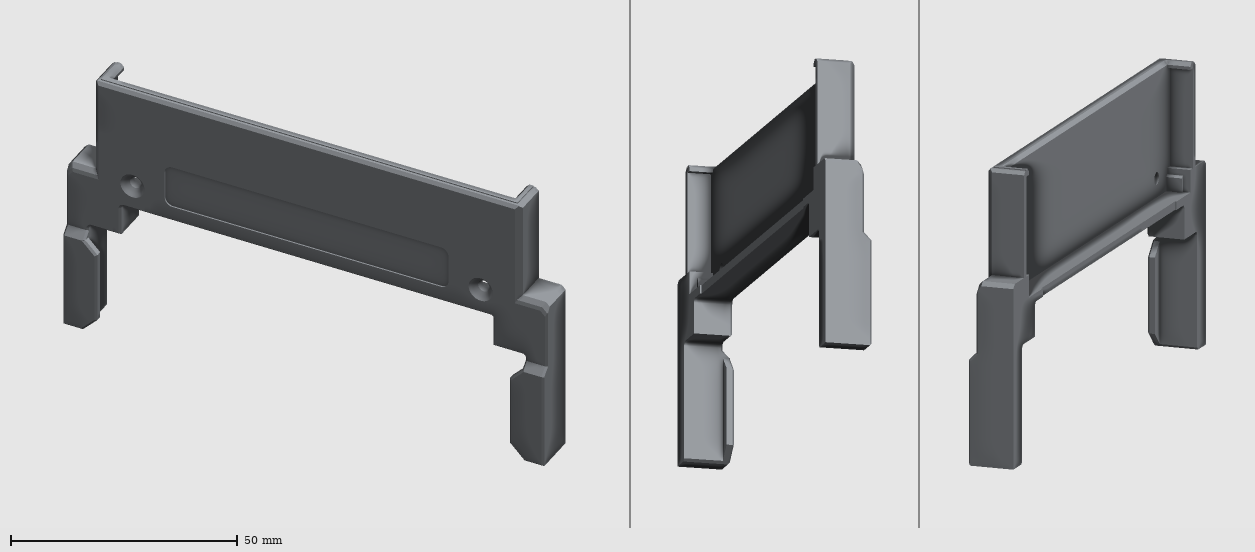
import cadquery as cq

half_width = 60.0
height = 66.5
body_depth = 8.9
leg_depth = 10.7

wall_half_width = 53.3
shoulder_z = 42.1
span_bottom_z = 35.0
block_inner_x = 46.5
block_bottom_z = 27.1
neck_x = 54.5

pad_inner_x = 51.5
pad_top_z = 24.0
pad_slope_tip_z = 21.0
pad_foot_slope_z = 3.6
pad_foot_x = pad_inner_x + pad_foot_slope_z
pad_rise = leg_depth - body_depth

outline_chamfer = 1.3
top_chamfer = 0.7
ridge_height = 0.2
ridge_inset = 1.3
shoulder_end_chamfer = 1.0
small_chamfer = 0.5
notch_radius = 0.8

plate_thickness = 3.5
tray_floor_z = 37.0
lip_height = 1.5
lip_inner_x = 50.2
lip_chamfer = 0.8
side_skin = 1.5
post_inner_x = 49.5
post_top_z = 40.7
post_back_y = -1.7
floor_back_gap = 0.4
floor_back_half_width = 41.6

screw_x = 43.5
screw_z = 41.3
screw_diameter = 2.9
screw_head_diameter = 6.0
label_width = 70.8
label_height = 10.5
label_z = 44.2
label_radius = 1.9
label_depth = 0.4

margin = 0.1

tray_front_y = plate_thickness - body_depth
tray_depth = -tray_front_y
wall_top_z = height - ridge_height
tray_half_width = wall_half_width - side_skin


def box(x_min, x_max, y_min, y_max, z_min, z_max):
    """Axis-aligned block between the given limits."""
    size = (x_max - x_min, y_max - y_min, z_max - z_min)
    return cq.Workplane("XY").box(*size, centered=False).translate((x_min, y_min, z_min))


def centered_box(half_x, y_min, y_max, z_min, z_max):
    """Block that is symmetric about the centre plane."""
    return box(-half_x, half_x, y_min, y_max, z_min, z_max)


def prism(points, y_back, y_front):
    """Prism with an XZ outline, running forward from y_back to y_front."""
    outline = cq.Workplane("XZ", origin=(0, y_back, 0)).polyline(points).close()
    return outline.extrude(y_back - y_front)


def both_sides(solid):
    """The solid together with its mirror image across the centre plane."""
    return solid.union(solid.mirror("YZ"))


def edges_between(solid, low, high):
    """Selection of the edges whose centres lie between two opposite corners of a box."""
    return solid.edges(cq.selectors.BoxSelector(low, high))


def edges_in_band(solid, y_min, y_max, z_min, z_max):
    """Selection of the edges, at any X, whose centres lie between the given Y and Z limits."""
    reach = half_width + margin
    return edges_between(solid, (-reach, y_min, z_min), (reach, y_max, z_max))


def make_body():
    right = [
        (wall_half_width, wall_top_z),
        (wall_half_width, shoulder_z),
        (half_width, shoulder_z),
        (half_width, 0),
        (pad_foot_x, 0),
        (neck_x, pad_foot_x - neck_x),
        (neck_x, block_bottom_z),
        (block_inner_x, block_bottom_z),
        (block_inner_x, span_bottom_z),
    ]
    left = [(-x, z) for x, z in reversed(right)]
    body = prism(right + left, 0, -body_depth)

    for x, z in ((neck_x, block_bottom_z), (block_inner_x, span_bottom_z)):
        for corner_x in (-x, x):
            corner = edges_between(
                body,
                (corner_x - margin, -body_depth, z - margin),
                (corner_x + margin, 0, z + margin),
            )
            body = corner.fillet(notch_radius)

    body = body.faces(">Z").edges("|Y").chamfer(top_chamfer)
    shoulders = edges_in_band(body, -body_depth, 0, shoulder_z - margin, shoulder_z + margin)
    return shoulders.edges("|Y").edges("<X or >X").chamfer(shoulder_end_chamfer)


def make_leg_front():
    """Right leg: the pad and the sloped step that leads up to it."""
    pad = prism(
        [
            (half_width, 0),
            (pad_foot_x, 0),
            (pad_inner_x, pad_foot_slope_z),
            (pad_inner_x, pad_slope_tip_z),
            (neck_x, pad_top_z),
            (half_width, pad_top_z),
        ],
        -body_depth,
        -leg_depth,
    )
    slope = (
        cq.Workplane("YZ", origin=(neck_x, 0, 0))
        .polyline(
            [
                (-body_depth, pad_slope_tip_z),
                (-leg_depth, pad_slope_tip_z),
                (-leg_depth, pad_top_z),
                (-body_depth, pad_top_z + pad_rise),
            ]
        )
        .close()
        .extrude(half_width - neck_x)
    )
    return pad.union(slope)


def chamfer_front(solid):
    """Chamfer the front outline of the plate and of the legs."""
    face_y = -body_depth
    step_top_z = pad_top_z + pad_rise
    plate_band = (face_y - margin, face_y + margin)
    step_band = (-leg_depth + margin, face_y - margin)
    pad_band = (-leg_depth - margin, -leg_depth + margin)

    top = edges_in_band(solid, *plate_band, wall_top_z - margin, wall_top_z + margin)
    solid = top.chamfer(top_chamfer)

    shoulder_end_z = shoulder_z - shoulder_end_chamfer
    upper = edges_in_band(solid, *plate_band, shoulder_end_z, wall_top_z - top_chamfer - margin)
    solid = upper.chamfer(outline_chamfer)

    lower = edges_in_band(solid, *plate_band, step_top_z + margin, shoulder_end_z - margin)
    step = edges_in_band(solid, *step_band, pad_top_z + margin, step_top_z - margin)
    pads = edges_in_band(solid, *pad_band, -margin, pad_top_z - margin)
    return lower.add(step).add(pads).chamfer(small_chamfer)


def make_ridge():
    """Thin raised ridge on top of the plate and the walls, set back from their outer faces."""
    return centered_box(wall_half_width - ridge_inset, ridge_inset - body_depth, 0, wall_top_z, height)


def make_tray():
    """Space behind the plate, to be cut away: open to the back and the top."""
    rim_z = height - lip_height
    tray = centered_box(tray_half_width, tray_front_y, 0, shoulder_z, rim_z)
    tray = tray.union(centered_box(lip_inner_x, tray_front_y, 0, tray_floor_z, height))
    flare = (
        cq.Workplane("XY", origin=(0, 0, height - lip_chamfer))
        .rect(2 * lip_inner_x, 2 * tray_depth)
        .extrude(lip_chamfer, taper=-45)
    )
    floor_gap = centered_box(floor_back_half_width, -floor_back_gap, 0, 0, height)
    return tray.union(flare).union(floor_gap)


def make_post():
    """Low bevelled block in the right corner of the tray."""
    post = box(post_inner_x, wall_half_width, tray_front_y, post_back_y, tray_floor_z, post_top_z)
    return post.edges(">Z and <X").chamfer(small_chamfer)


def make_screw_hole():
    """Through hole with a conical countersink, on the right."""
    sink_depth = (screw_head_diameter - screw_diameter) / 2
    start = cq.Workplane("XZ", origin=(screw_x, -body_depth, screw_z))
    hole = start.circle(screw_diameter / 2).extrude(-body_depth)
    cone = cq.Solid.makeCone(
        screw_head_diameter / 2,
        screw_diameter / 2,
        sink_depth,
        pnt=cq.Vector(screw_x, -body_depth, screw_z),
        dir=cq.Vector(0, 1, 0),
    )
    return hole.union(cq.Workplane(cone))


def make_label():
    """Shallow rounded label recess in the plate."""
    start = cq.Workplane("XZ", origin=(0, -body_depth, label_z))
    return start.rect(label_width, label_height).extrude(-label_depth).edges("|Y").fillet(label_radius)


body = make_body().union(both_sides(make_leg_front()))
body = chamfer_front(body).union(make_ridge())
body = body.cut(make_tray()).union(both_sides(make_post()))
result = body.cut(both_sides(make_screw_hole())).cut(make_label())